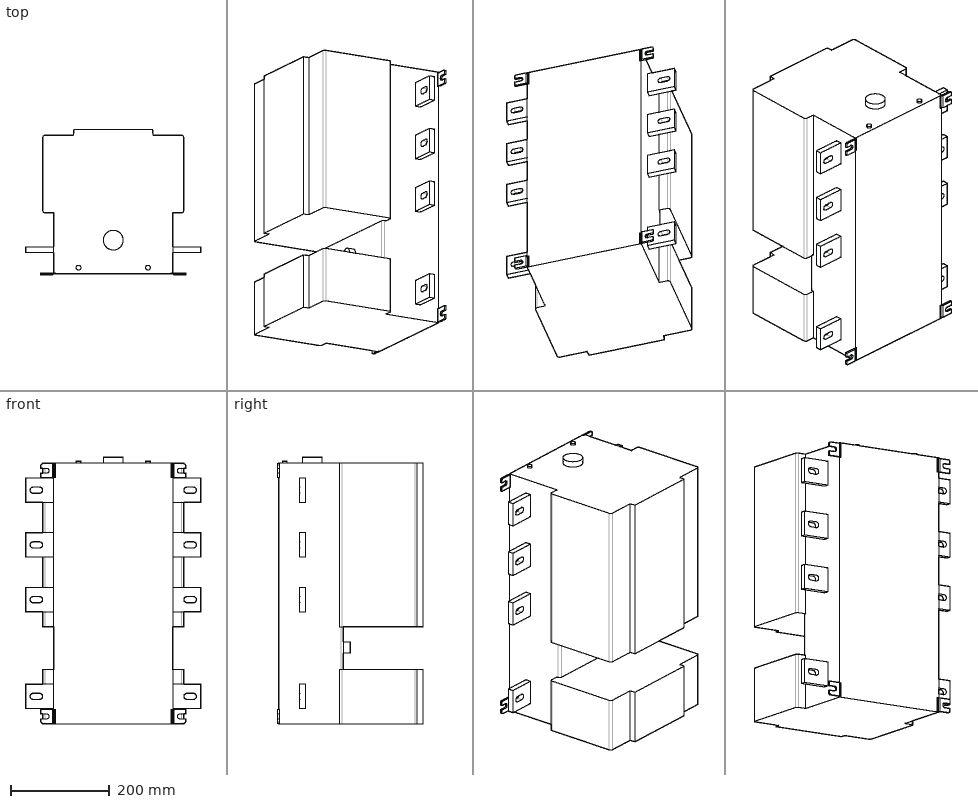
import cadquery as cq

body_width = 242.0
body_height = 530.0
body_depth = 293.0
block_width = 286.0
shoulder_y = 123.5
panel_width = 162.0
panel_step = 12.0
edge_radius = 5.0
panel_draft = 1.0

gap_bottom = 111.0
gap_top = 197.0
gap_floor_y = 131.5

button_diameter = 23.0
button_length = 14.0
button_z = 155.5
knob_diameter = 40.0
knob_height = 12.0
knob_y = 68.0
pin_diameter = 10.0
pin_height = 4.0
pin_spacing = 141
pin_y = 12.5

bar_span = 356.0
bar_height = 50.0
bar_thickness = 12.0
bar_front_y = 43.0
first_bar_z = 56.5
upper_bar_z = 252.5
bar_pitch = 111.0
bar_centres_z = [first_bar_z] + [upper_bar_z + i * bar_pitch for i in range(3)]
bar_slot_length = 25.0
bar_slot_width = 12.0
bar_slot_spacing = 312.0

bracket_span = 294.0
bracket_height = 28.0
bracket_end_gap = 1.5
bracket_proud = 2.0
bracket_sunk = 1.5
bracket_corner_radius = 4.0
bracket_slot_width = 10.0
bracket_slot_end = 130.0
bracket_inner_x = 119.0
recess_inner_x = 117.5


def centred_box(width, y_start, y_end, z_start, z_end):
    """Box symmetrical about X = 0."""
    return cq.Workplane("XY").box(
        width, y_end - y_start, z_end - z_start, centered=(True, False, False)
    ).translate((0, y_start, z_start))


def both_sides(shape):
    """The shape together with its mirror image across X = 0."""
    return shape.union(shape.mirror("YZ"))


def make_block(z_start, z_end):
    """One part of the wide block with its rear panel, rounded along the upright edges."""
    rear_y = body_depth - panel_step
    block = centred_box(block_width, shoulder_y, rear_y, z_start, z_end)
    block = block.edges("|Z").fillet(edge_radius)
    panel = (
        cq.Workplane("XY", origin=(0, 0, z_start))
        .moveTo(-panel_width / 2, shoulder_y)
        .lineTo(panel_width / 2, shoulder_y)
        .lineTo(panel_width / 2, rear_y)
        .lineTo(panel_width / 2 - panel_draft, body_depth)
        .lineTo(-panel_width / 2 + panel_draft, body_depth)
        .lineTo(-panel_width / 2, rear_y)
        .close()
        .extrude(z_end - z_start)
    )
    return block.union(panel)


def make_housing():
    core = centred_box(body_width, 0, gap_floor_y, 0, body_height)
    core = core.edges("|Z and >Y").fillet(edge_radius)
    return core.union(make_block(0, gap_bottom)).union(make_block(gap_top, body_height))


def make_fittings():
    """Push button in the gap, knob and two pins on the top face."""
    top = cq.Workplane("XY").workplane(offset=body_height)
    knob = top.center(0, knob_y).circle(knob_diameter / 2).extrude(knob_height)
    pins = (
        top.pushPoints([(-pin_spacing / 2, pin_y), (pin_spacing / 2, pin_y)])
        .circle(pin_diameter / 2)
        .extrude(pin_height)
    )
    button = (
        cq.Workplane("XZ", origin=(0, gap_floor_y, button_z))
        .circle(button_diameter / 2)
        .extrude(-button_length)
    )
    return knob.union(pins).union(button)


def make_bars(centre_z):
    """A bar through the housing, with a slot near each tip."""
    bar = centred_box(
        bar_span,
        bar_front_y,
        bar_front_y + bar_thickness,
        centre_z - bar_height / 2,
        centre_z + bar_height / 2,
    )
    slots = (
        cq.Workplane("XZ", origin=(0, bar_front_y, centre_z))
        .pushPoints([(-bar_slot_spacing / 2, 0), (bar_slot_spacing / 2, 0)])
        .slot2D(bar_slot_length, bar_slot_width)
        .extrude(-bar_thickness)
    )
    return bar.cut(slots)


def make_bracket(z_start, outer_edge):
    """The +X bracket; outer_edge selects its rounded edge: ">Z" for the top one, "<Z" for the bottom."""
    tip_x = bracket_span / 2
    thickness = bracket_proud + bracket_sunk
    plate = (
        cq.Workplane("XY", origin=(0, 0, z_start))
        .moveTo(bracket_inner_x, bracket_sunk)
        .lineTo(tip_x, bracket_sunk)
        .lineTo(tip_x, -bracket_proud)
        .lineTo(bracket_inner_x + thickness, -bracket_proud)
        .close()
        .extrude(bracket_height)
    )
    plate = plate.faces(">X").edges(outer_edge).fillet(bracket_corner_radius)
    slot_length = 2 * (tip_x - bracket_slot_end)
    slot = (
        cq.Workplane("XZ", origin=(tip_x, bracket_sunk, z_start + bracket_height / 2))
        .slot2D(slot_length, bracket_slot_width)
        .extrude(thickness)
    )
    return plate.cut(slot)


def make_recess(z_start):
    """Cutter for the +X corner recess that takes a bracket."""
    width = body_width / 2 - recess_inner_x
    recess = cq.Workplane("XY").box(width, bracket_sunk, bracket_height, centered=False)
    return recess.translate((recess_inner_x, 0, z_start))


result = make_housing().union(make_fittings())

for bar_z in bar_centres_z:
    result = result.union(make_bars(bar_z))

bottom_bracket_z = bracket_end_gap
top_bracket_z = body_height - bracket_end_gap - bracket_height
for bracket_z, rounded_edge in ((bottom_bracket_z, "<Z"), (top_bracket_z, ">Z")):
    result = result.cut(both_sides(make_recess(bracket_z)))
    result = result.union(both_sides(make_bracket(bracket_z, rounded_edge)))